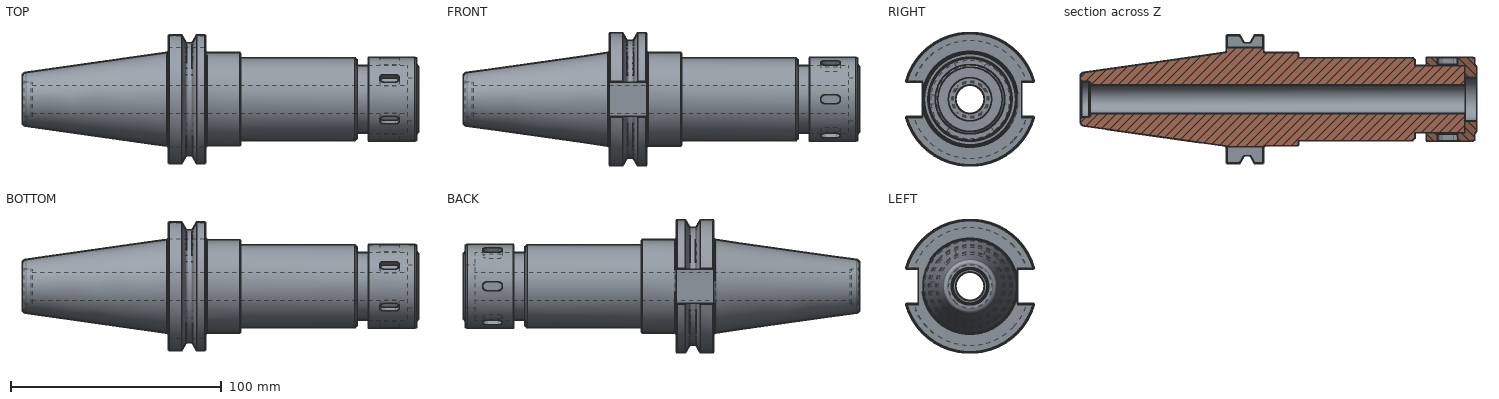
import cadquery as cq
import math

overall_length = 188.2

gauge_diameter = 44.5
gauge_x = 68.3
taper_end_diameter = 25.0
taper_end_radius = 2.0

flange_diameter = 63.5
flange_x = 69.3
flange_end_x = 87.2
flange_chamfer = 0.5
flange_root_radius = 0.5
groove_x = 79.3
groove_floor_diameter = 56.1
groove_floor_width = 3.0
groove_wall_angle = 30.0
groove_corner_radius = 0.5

keyway_width = 16.2
keyway_floor_front = 22.5
keyway_floor_back = 24.7

shoulder_end_x = 103.7
shoulder_chamfer = 0.5
body_diameter = 39.5
body_end_x = 158.9
body_chamfer = 1.1
nose_diameter = 32.2
nose_end_x = 182.6

bore_diameter = 13.4
counterbore_diameter = 16.0
counterbore_depth = 4.9
recess_diameter = 16.8
recess_depth = 4.1
mouth_diameter = 17.7
mouth_depth = 0.8

nut_diameter = 40.0
nut_x = 164.2
nut_face_x = 187.3
nut_back_chamfer = 0.4
nut_front_chamfer_length = 1.1
nut_front_chamfer_depth = 0.5
nut_opening_diameter = 20.5
rim_diameter = 33.0
rim_end_diameter = 30.5

slot_count = 6
slot_length = 9.5
slot_width = 4.1
slot_depth = 3.4
slot_x = 174.3


def cylinder(diameter, start_x, end_x):
    """Round bar along the X axis."""
    return cq.Workplane("YZ", origin=(start_x, 0, 0)).circle(diameter / 2).extrude(end_x - start_x)


def cone(start_diameter, end_diameter, start_x, end_x):
    """Solid cone frustum along the X axis."""
    outline = [(start_x, 0), (start_x, start_diameter / 2), (end_x, end_diameter / 2), (end_x, 0)]
    return cq.Workplane("XY").polyline(outline).close().revolve(360, (0, 0, 0), (1, 0, 0))


def make_taper():
    taper = cone(taper_end_diameter, gauge_diameter, 0, gauge_x)
    return taper.faces("<X").edges().fillet(taper_end_radius)


def make_v_groove():
    """Ring with the trapezoid section of the V-groove."""
    floor_radius = groove_floor_diameter / 2
    top_radius = flange_diameter / 2
    floor_half = groove_floor_width / 2
    top_half = floor_half + (top_radius - floor_radius) * math.tan(math.radians(groove_wall_angle))
    section = [
        (groove_x - floor_half, floor_radius),
        (groove_x - top_half, top_radius),
        (groove_x + top_half, top_radius),
        (groove_x + floor_half, floor_radius),
        (groove_x - floor_half, floor_radius),
    ]
    profile = cq.Sketch().polygon(section).vertices("<Y").fillet(groove_corner_radius)
    return cq.Workplane("XY").placeSketch(profile).revolve(360, (0, 0, 0), (1, 0, 0))


def make_root_ring(face_x, outward):
    """Concave ring that blends a flange face into the shank; outward is -1 or 1 along X."""
    shank_radius = gauge_diameter / 2
    tip_x = face_x + outward * flange_root_radius
    top_radius = shank_radius + flange_root_radius
    arc_offset = flange_root_radius * (1 - math.sqrt(0.5))
    section = (
        cq.Workplane("XY")
        .moveTo(face_x, top_radius)
        .threePointArc((face_x + outward * arc_offset, shank_radius + arc_offset), (tip_x, shank_radius))
        .lineTo(tip_x, shank_radius - flange_root_radius)
        .lineTo(face_x, shank_radius - flange_root_radius)
        .close()
    )
    return section.revolve(360, (0, 0, 0), (1, 0, 0))


def make_keyway(floor_distance, side):
    """Block that cuts one keyway; side is -1 for the -Y keyway and 1 for the +Y keyway."""
    length = flange_end_x - flange_x + 2 * flange_root_radius
    block = cq.Workplane("XY").box(length, flange_diameter, keyway_width)
    middle_x = (flange_x + flange_end_x) / 2
    return block.translate((middle_x, side * (floor_distance + flange_diameter / 2), 0))


def lies_off_keyway_floors(edge):
    """True for the flange edges on the rim and along the keyway walls."""
    middle_y = edge.Center().y
    floors = (-keyway_floor_front, keyway_floor_back)
    return all(abs(middle_y - floor) > flange_chamfer for floor in floors)


def make_flange():
    keyways = make_keyway(keyway_floor_front, -1).union(make_keyway(keyway_floor_back, 1))
    flange = cylinder(flange_diameter, flange_x, flange_end_x).cut(keyways)
    flange = flange.edges().filter(lies_off_keyway_floors).chamfer(flange_chamfer)
    roots = make_root_ring(flange_x, -1).union(make_root_ring(flange_end_x, 1)).cut(keyways)
    return flange.cut(make_v_groove()).union(roots)


def make_holder():
    shoulder = cylinder(gauge_diameter, gauge_x, shoulder_end_x).faces(">X").edges().chamfer(shoulder_chamfer)
    body = cylinder(body_diameter, shoulder_end_x, body_end_x).faces(">X").edges().chamfer(body_chamfer)
    nose = cylinder(nose_diameter, body_end_x, nose_end_x)
    holder = make_taper().union(shoulder).union(make_flange()).union(body).union(nose)
    holder = holder.cut(cylinder(bore_diameter, 0, nose_end_x))
    holder = holder.cut(cylinder(counterbore_diameter, 0, counterbore_depth))
    holder = holder.cut(cylinder(recess_diameter, 0, recess_depth))
    return holder.cut(cylinder(mouth_diameter, 0, mouth_depth))


def make_wrench_slot(angle):
    """Cutter for one flat-bottomed slot, turned about the X axis from the +Y side."""
    floor_distance = nut_diameter / 2 - slot_depth
    cutter = (
        cq.Workplane("XZ", origin=(slot_x, floor_distance, 0))
        .slot2D(slot_length, slot_width)
        .extrude(-2 * slot_depth)
    )
    return cutter.rotate((0, 0, 0), (1, 0, 0), angle)


def make_nut():
    chamfer_x = nut_face_x - nut_front_chamfer_length
    nut = cylinder(nut_diameter, nut_x, chamfer_x)
    nut = nut.faces("<X").edges().chamfer(nut_back_chamfer)
    nut = nut.union(
        cone(nut_diameter, nut_diameter - 2 * nut_front_chamfer_depth, chamfer_x, nut_face_x)
    )
    nut = nut.union(cone(rim_diameter, rim_end_diameter, nut_face_x, overall_length))
    nut = nut.cut(cylinder(nose_diameter, nut_x, nose_end_x))
    nut = nut.cut(cylinder(nut_opening_diameter, nose_end_x, overall_length))
    for index in range(slot_count):
        nut = nut.cut(make_wrench_slot(index * 360 / slot_count))
    return nut


holder = make_holder()
nut = make_nut()
result = cq.Compound.makeCompound([holder.val(), nut.val()])